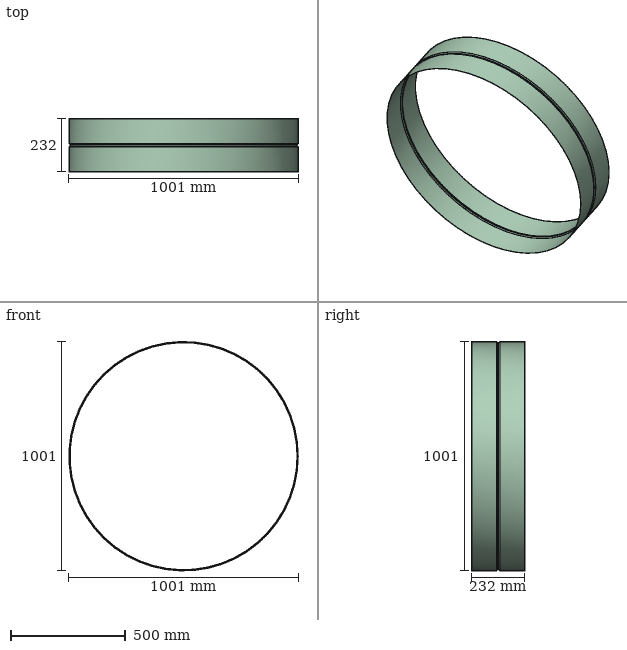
import cadquery as cq

outer_diameter = 1001.0
ring_width = 232.0
wall = 0.5
groove_depth = 5.0
groove_mouth_width = 15.0
groove_floor_width = 5.0

outer_radius = outer_diameter / 2
half_width = ring_width / 2


def sleeve_profile(rim_radius):
    """Half-section from the Y axis out to a rim with a central trapezoidal groove."""
    floor_radius = rim_radius - groove_depth
    half_mouth = groove_mouth_width / 2
    half_floor = groove_floor_width / 2
    return (
        cq.Workplane("XY")
        .moveTo(0, -half_width)
        .lineTo(rim_radius, -half_width)
        .lineTo(rim_radius, -half_mouth)
        .lineTo(floor_radius, -half_floor)
        .lineTo(floor_radius, half_floor)
        .lineTo(rim_radius, half_mouth)
        .lineTo(rim_radius, half_width)
        .lineTo(0, half_width)
        .close()
    )


def revolve_about_y(profile):
    return profile.revolve(360, (0, 0, 0), (0, 1, 0))


outer_body = revolve_about_y(sleeve_profile(outer_radius))
inner_void = revolve_about_y(sleeve_profile(outer_radius - wall))
result = outer_body.cut(inner_void)